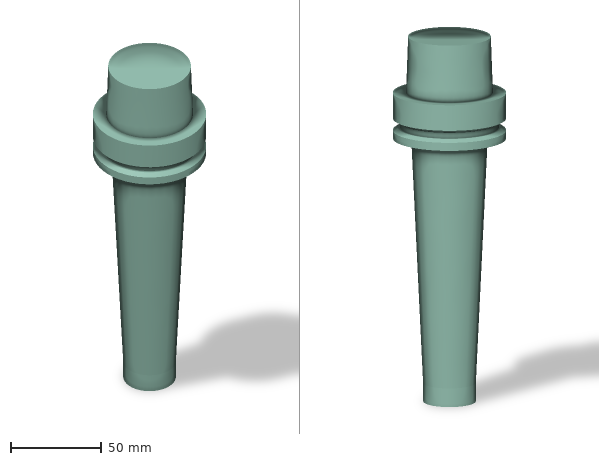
import cadquery as cq
import math

total_length = 208.0

shank_length = 32.0
shank_top_radius = 46.0 / 2
shank_base_radius = 48.3 / 2

flange_radius = 63.0 / 2
flange_height = 26.0
groove_floor_radius = 55.0 / 2
groove_floor_width = 3.1
rim_chamfer_height = 1.7
groove_upper_wall_height = 2.0
ledge_radius = 29.0
lower_rim_height = 4.5

neck_top_radius = 42.2 / 2
nose_radius = 29.3 / 2
nose_length = 10.6
neck_fillet_radius = 3.0

flange_top = total_length - shank_length
flange_bottom = flange_top - flange_height


def revolved_section(profile):
    """Revolve a half profile, drawn as radius and height, about Z."""
    return profile.close().revolve(360, (0, 0, 0), (0, 1, 0))


def make_shank():
    return revolved_section(
        cq.Workplane("XZ")
        .moveTo(0, flange_top)
        .lineTo(shank_base_radius, flange_top)
        .lineTo(shank_top_radius, total_length)
        .lineTo(0, total_length)
    )


def make_flange():
    """Flange whose groove has a conical upper wall and a flat lower ledge ending in a chamfer."""
    rim_top = flange_bottom + lower_rim_height
    floor_bottom = rim_top + rim_chamfer_height
    floor_top = floor_bottom + groove_floor_width
    groove_top = floor_top + groove_upper_wall_height
    return revolved_section(
        cq.Workplane("XZ")
        .moveTo(0, flange_bottom)
        .lineTo(flange_radius, flange_bottom)
        .lineTo(flange_radius, rim_top)
        .lineTo(ledge_radius, floor_bottom)
        .lineTo(groove_floor_radius, floor_bottom)
        .lineTo(groove_floor_radius, floor_top)
        .lineTo(flange_radius, groove_top)
        .lineTo(flange_radius, flange_top)
        .lineTo(0, flange_top)
    )


def make_neck():
    """Nose and tapered neck, with a concave fillet running out into the flange."""
    fillet_start = flange_bottom - neck_fillet_radius
    fillet_centre_radius = neck_top_radius + neck_fillet_radius
    diagonal = neck_fillet_radius * math.sqrt(0.5)
    return revolved_section(
        cq.Workplane("XZ")
        .lineTo(nose_radius, 0)
        .lineTo(nose_radius, nose_length)
        .lineTo(neck_top_radius, fillet_start)
        .threePointArc(
            (fillet_centre_radius - diagonal, fillet_start + diagonal),
            (fillet_centre_radius, flange_bottom),
        )
        .lineTo(0, flange_bottom)
    )


result = make_neck().union(make_flange()).union(make_shank())